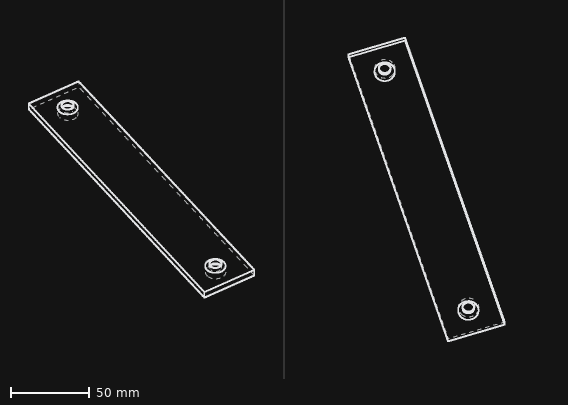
import cadquery as cq

plate_length = 208.0
plate_width = 38.0
plate_thickness = 5.0

hole_spacing = 174.7
hole_radius = 7.5 / 2

dimple_height = 1.9
dimple_base_radius = 13.0 / 2
dimple_top_radius = 8.1 / 2

hollow_base_radius = dimple_base_radius
hollow_depth = 3.7


def cone(base_radius, top_radius, height):
    """Truncated cone standing on the XY plane around the Z axis."""
    outline = [(0, 0), (base_radius, 0), (top_radius, height), (0, height)]
    return cq.Workplane("XZ").polyline(outline).close().revolve(360, (0, 0), (0, 1))


result = cq.Workplane("XY").box(
    plate_length, plate_width, plate_thickness, centered=(True, True, False)
)

for side in (-1, 1):
    hole_x = side * hole_spacing / 2
    dimple = cone(dimple_base_radius, dimple_top_radius, dimple_height)
    hollow = cone(hollow_base_radius, hole_radius, hollow_depth)
    hole = cq.Workplane("XY").circle(hole_radius).extrude(plate_thickness + dimple_height)
    result = result.union(dimple.translate((hole_x, 0, plate_thickness)))
    result = result.cut(hollow.union(hole).translate((hole_x, 0, 0)))